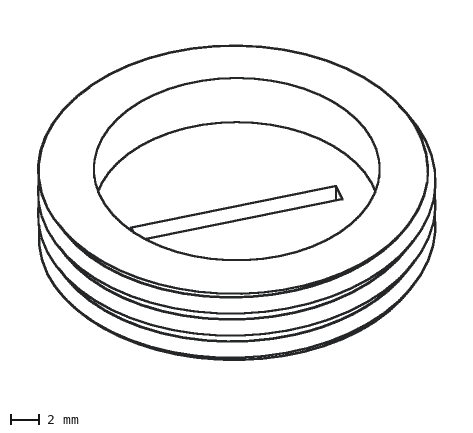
import cadquery as cq
import math


outer_diameter = 27.8
height = 6.0
recess_diameter = 20.0
recess_depth = 4.0
slot_width = 1.5
slot_length = 15.0
thread_turns = 3
flank_angle = 30.0
root_overlap = 0.005

crest_radius = outer_diameter / 2
thread_pitch = height / thread_turns
thread_depth = thread_pitch / 2 * math.tan(math.radians(flank_angle))
root_radius = crest_radius - thread_depth
ridge_base_radius = root_radius + root_overlap
core_radius = ridge_base_radius + root_overlap
ridge_half_width = (crest_radius - ridge_base_radius) / math.tan(math.radians(flank_angle))
ridge_turns = thread_turns + 2


def thread_helix(radius, start_height):
    """Helix about Z that starts at -Y at the given height."""
    helix = cq.Wire.makeHelix(thread_pitch, thread_pitch * ridge_turns, radius)
    return helix.rotate(cq.Vector(0, 0, 0), cq.Vector(0, 0, 1), -90).translate(cq.Vector(0, 0, start_height))


def thread_ridge():
    """Triangular ridge whose crest crosses Z = 0 at -Y, running past both end faces."""
    crest_start = -thread_pitch
    crest = thread_helix(crest_radius, crest_start)
    lower_base = thread_helix(ridge_base_radius, crest_start - ridge_half_width)
    upper_base = thread_helix(ridge_base_radius, crest_start + ridge_half_width)
    surfaces = [
        cq.Face.makeRuledSurface(lower_base, crest),
        cq.Face.makeRuledSurface(crest, upper_base),
        cq.Face.makeRuledSurface(upper_base, lower_base),
    ]
    for end in (0, 1):
        corners = [edge.positionAt(end) for edge in (lower_base, crest, upper_base)]
        surfaces.append(cq.Face.makeFromWires(cq.Wire.makePolygon(corners, close=True)))
    ridge_faces = [face for surface in surfaces for face in surface.Faces()]
    return cq.Workplane("XY").add(cq.Solid.makeSolid(cq.Shell.makeShell(ridge_faces)))


def threaded_body():
    """Core with the right-hand V thread, cut flush at both end faces."""
    core = cq.Workplane("XY").circle(core_radius).extrude(height)
    trim = cq.Workplane("XY").circle(outer_diameter).extrude(height)
    return core.union(thread_ridge().intersect(trim))


def recess():
    """Round pocket open at the top face."""
    floor_height = height - recess_depth
    return cq.Workplane("XY").workplane(offset=floor_height).circle(recess_diameter / 2).extrude(recess_depth)


def slot():
    """Straight slot along Y, through the recess floor."""
    return cq.Workplane("XY").rect(slot_width, slot_length).extrude(height)


result = threaded_body().cut(recess()).cut(slot())